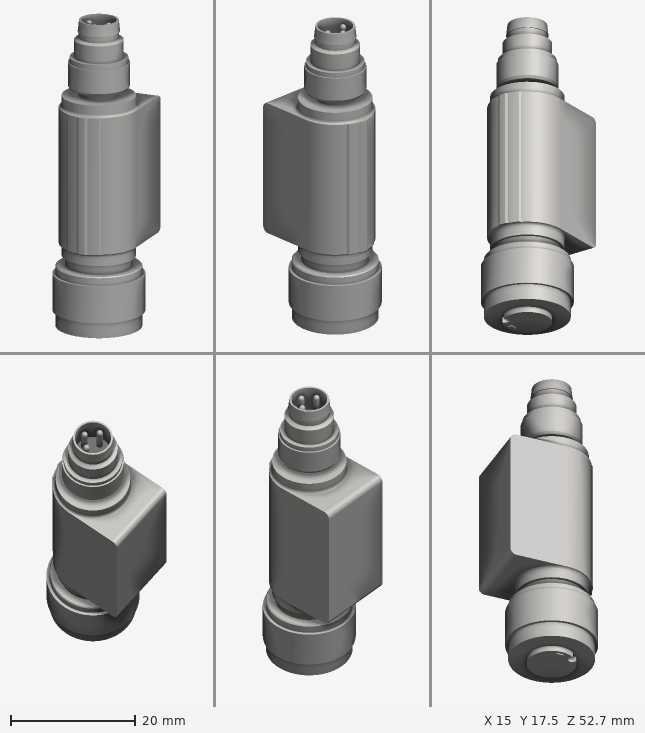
import cadquery as cq
import math

overall_width = 15.0
overall_depth = 17.5
overall_height = 52.7

insert_bottom = 0.15
coupling_bottom = 1.1
grip_bottom = 3.75
grip_top = 9.95
coupling_top = 11.4
lower_neck_top = 12.95
body_bottom = 15.0
body_top = 38.05
upper_collar_top = 40.0
ring_bottom = 41.05
ring_grip_bottom = 41.7
ring_grip_top = 45.65
ring_top = 46.5
sleeve_top = 49.75
rim_lip = 50.8

insert_radius = 4.0
coupling_radius = 7.0
grip_radius = overall_width / 2
lower_neck_radius = 5.5
collar_radius = 6.0
body_radius = 6.5
upper_neck_radius = 3.25
ring_radius = 4.75
ring_grip_radius = 5.0
sleeve_radius = 4.0
rim_lip_radius = 3.4
rim_top_radius = 3.2

coupling_chamfer = 0.15
ring_chamfer_width = 0.8
ring_chamfer_height = 0.15
sleeve_chamfer_height = 0.3

housing_back = overall_depth - grip_radius
housing_edge_fillet = 1.0

pad_radius = 6.7
pad_base_half_width = 2.95
pad_top_half_width = 2.75
ridge_radius = 6.9
ridge_base_half_width = 0.95
ridge_top_half_width = 0.55

socket_radius = 2.9
socket_depth = 4.5
socket_floor = overall_height - socket_depth
pin_radius = 0.55
pin_offset = 1.75
pin_tip = 52.4
pin_directions = (0, 180, 270)

keyway_width = 1.3
keyway_floor_center = 3.55
keyway_direction = 225
key_outer_x = -3.4
key_inner_x = -2.7
key_width = 1.15


def cylinder(radius, bottom, top):
    return cq.Workplane("XY").workplane(offset=bottom).circle(radius).extrude(top - bottom)


def on_arc(radius, x):
    """Point at the given x on the front (-Y) side of a circle about the axis."""
    return (x, -math.sqrt(radius**2 - x**2))


def turned_lower_end():
    insert = cylinder(insert_radius, insert_bottom, coupling_bottom)
    coupling = cylinder(coupling_radius, coupling_bottom, coupling_top)
    coupling = coupling.faces(">Z").chamfer(coupling_chamfer)
    grip = cylinder(grip_radius, grip_bottom, grip_top)
    neck = cylinder(lower_neck_radius, coupling_top, lower_neck_top)
    return insert.union(coupling).union(grip).union(neck)


def body_and_collars():
    """Round body with a collar at each end that flares into it through a concave arc."""
    flare = body_radius - collar_radius
    arc_reach = flare * (1 - math.sqrt(0.5))
    return (
        cq.Workplane("XZ")
        .moveTo(0, lower_neck_top)
        .lineTo(collar_radius, lower_neck_top)
        .lineTo(collar_radius, body_bottom - flare)
        .threePointArc((collar_radius + arc_reach, body_bottom - arc_reach), (body_radius, body_bottom))
        .lineTo(body_radius, body_top)
        .threePointArc((collar_radius + arc_reach, body_top + arc_reach), (collar_radius, body_top + flare))
        .lineTo(collar_radius, upper_collar_top)
        .lineTo(0, upper_collar_top)
        .close()
        .revolve(360, (0, 0), (0, 1))
    )


def housing():
    """Block behind the axis, as wide as the body, with rounded back edges."""
    return (
        cq.Workplane("XY")
        .box(2 * body_radius, housing_back, body_top - body_bottom, centered=(True, False, False))
        .translate((0, 0, body_bottom))
        .edges(">Y and |X")
        .fillet(housing_edge_fillet)
    )


def raised_strip(radius, base_radius, base_half_width, top_half_width):
    """Strip on the front of the body with sloping sides and a rounded face."""
    return (
        cq.Workplane("XY")
        .workplane(offset=body_bottom)
        .moveTo(0, 0)
        .lineTo(*on_arc(base_radius, -base_half_width))
        .lineTo(*on_arc(radius, -top_half_width))
        .threePointArc((0, -radius), on_arc(radius, top_half_width))
        .lineTo(*on_arc(base_radius, base_half_width))
        .close()
        .extrude(body_top - body_bottom)
    )


def turned_upper_end():
    return (
        cq.Workplane("XZ")
        .moveTo(0, upper_collar_top)
        .lineTo(upper_neck_radius, upper_collar_top)
        .lineTo(upper_neck_radius, ring_bottom)
        .lineTo(ring_radius - ring_chamfer_width, ring_bottom)
        .lineTo(ring_radius, ring_bottom + ring_chamfer_height)
        .lineTo(ring_grip_radius, ring_grip_bottom)
        .lineTo(ring_grip_radius, ring_grip_top)
        .lineTo(ring_radius, ring_grip_top)
        .lineTo(ring_radius, ring_top)
        .lineTo(sleeve_radius, ring_top)
        .lineTo(sleeve_radius, sleeve_top - sleeve_chamfer_height)
        .lineTo(upper_neck_radius, sleeve_top)
        .lineTo(upper_neck_radius, rim_lip)
        .lineTo(rim_lip_radius, rim_lip)
        .lineTo(rim_top_radius, overall_height)
        .lineTo(0, overall_height)
        .close()
        .revolve(360, (0, 0), (0, 1))
    )


def socket():
    return cylinder(socket_radius, socket_floor, overall_height)


def pin(direction):
    """Contact pin with a hemispherical tip, standing on the socket floor."""
    angle = math.radians(direction)
    shaft_top = pin_tip - pin_radius
    shaft = cylinder(pin_radius, socket_floor, shaft_top)
    tip = cq.Workplane("XY").sphere(pin_radius).translate((0, 0, shaft_top))
    return shaft.union(tip).translate((pin_offset * math.cos(angle), pin_offset * math.sin(angle), 0))


def keyway():
    """Slot along the side of the insert, with straight sides and a half-round floor."""
    height = coupling_bottom - insert_bottom
    floor = cylinder(keyway_width / 2, insert_bottom, coupling_bottom).translate((keyway_floor_center, 0, 0))
    mouth = (
        cq.Workplane("XY")
        .box(keyway_width, keyway_width, height, centered=(False, True, False))
        .translate((keyway_floor_center, 0, insert_bottom))
    )
    return floor.union(mouth).rotate((0, 0, 0), (0, 0, 1), keyway_direction)


def contact_key():
    return (
        cq.Workplane("XY")
        .box(key_inner_x - key_outer_x, key_width, coupling_bottom, centered=(False, True, False))
        .translate((key_outer_x, 0, 0))
    )


result = turned_lower_end().cut(keyway()).union(contact_key())
result = result.union(body_and_collars()).union(housing())
result = result.union(raised_strip(pad_radius, body_radius, pad_base_half_width, pad_top_half_width))
result = result.union(raised_strip(ridge_radius, pad_radius, ridge_base_half_width, ridge_top_half_width))
result = result.union(turned_upper_end()).cut(socket())
for pin_direction in pin_directions:
    result = result.union(pin(pin_direction))